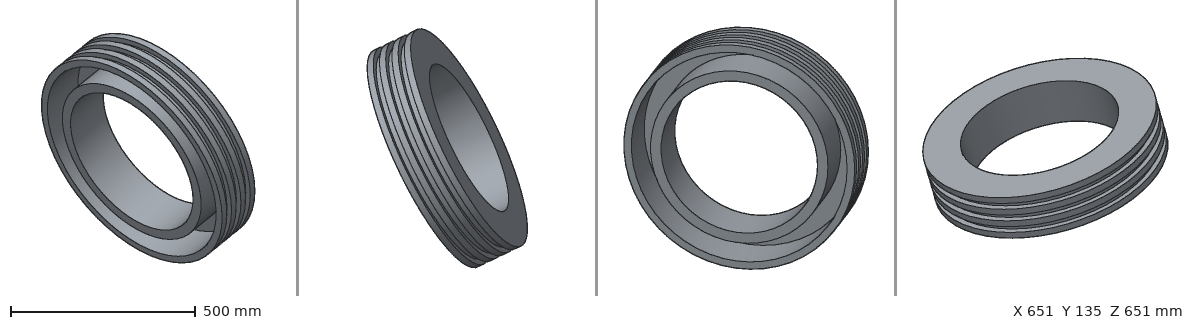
import cadquery as cq

outer_diameter = 651.0
groove_diameter = 618.5
rim_inner_diameter = 608.0
hub_diameter = 500.0
bore_diameter = 441.0
width = 135.0
floor_thickness = 10.0
groove_count = 3
cutter_clearance = 6.5

rib_count = groove_count + 1
groove_width = width / (groove_count + rib_count)
pitch = 2 * groove_width
recess_depth = width - floor_thickness
front = -width / 2


def tube(outside, inside, start, length):
    """Ring around the Y axis, running from Y = start towards +Y."""
    plane = cq.Workplane("XZ", origin=(0, start, 0))
    return plane.circle(outside / 2).circle(inside / 2).extrude(-length)


result = tube(outer_diameter, bore_diameter, front, width)

result = result.cut(tube(rim_inner_diameter, hub_diameter, front, recess_depth))

for index in range(groove_count):
    groove_start = front + groove_width + index * pitch
    cutter = tube(outer_diameter + cutter_clearance, groove_diameter, groove_start, groove_width)
    result = result.cut(cutter)